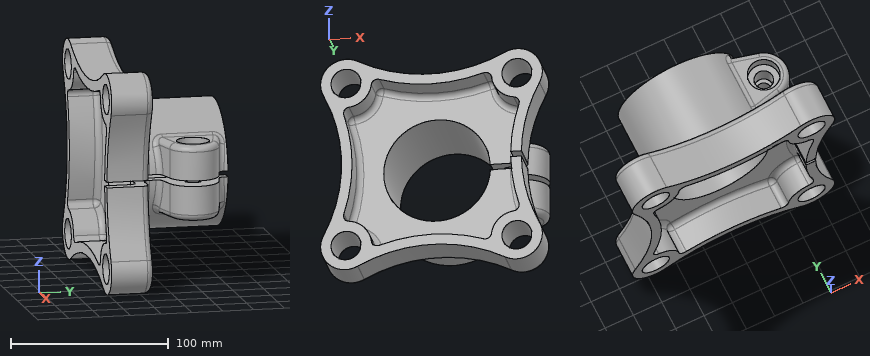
import cadquery as cq
import math

overall_width = 142.7
overall_depth = 82.4
flange_thickness = 27.4
corner_radius = 16.4
side_arc_radius = 102.0
bolt_hole_diameter = 19.1

hub_diameter = 82.5
bore_diameter = 68.5

pocket_wall = 6.9
pocket_depth = 20.5
fillet_radius = 4.0

ear_center_x = 49.5
ear_center_y = 57.7
ear_half_height = 24.4
ear_root_x = 28.5
ear_taper_degrees = 14.0
slit_width = 3.5

clamp_tap_diameter = 9.5
clamp_clearance_diameter = 12.3
spotface_diameter = 20.8
spotface_depth = 8.5

selection_margin = 0.4

hub_radius = hub_diameter / 2
bolt_offset = overall_width / 2 - corner_radius
tangent_span = side_arc_radius + corner_radius
side_arc_offset = bolt_offset + math.sqrt(tangent_span**2 - bolt_offset**2)

corners = [(sx * bolt_offset, sz * bolt_offset) for sx in (-1, 1) for sz in (-1, 1)]
side_arc_centers = [
    (side_arc_offset, 0),
    (-side_arc_offset, 0),
    (0, side_arc_offset),
    (0, -side_arc_offset),
]


def along_y():
    """Workplane on the open flange face, X across and Z up; negative extrusions go toward +Y."""
    return cq.Workplane("XZ")


def disks(centers, radius, depth):
    """Cylinders along Y that start at the open face of the flange."""
    return along_y().pushPoints(centers).circle(radius).extrude(-depth)


def flange():
    """Square plate with four rounded corners joined by tangent concave sides."""
    blend = corner_radius / tangent_span
    near = bolt_offset * (1 - blend)
    far = bolt_offset + (side_arc_offset - bolt_offset) * blend
    side_middle = side_arc_offset - side_arc_radius
    corner_middle = bolt_offset + corner_radius * math.sqrt(0.5)

    outline = along_y().moveTo(near, far)
    for quarter in range(4):
        cosine = round(math.cos(quarter * math.pi / 2))
        sine = round(math.sin(quarter * math.pi / 2))

        def turned(x, z):
            return (x * cosine + z * sine, z * cosine - x * sine)

        outline = outline.threePointArc(turned(corner_middle, corner_middle), turned(far, near))
        outline = outline.threePointArc(turned(side_middle, 0), turned(far, -near))
    plate = outline.close().extrude(-flange_thickness)
    return plate.faces(">Y").edges().fillet(fillet_radius)


def pocket():
    """Recess that leaves an even wall along the sides and a round boss at each bolt hole."""
    side = 2 * (bolt_offset + fillet_radius)
    block = along_y().rect(side, side).extrude(-pocket_depth)
    block = block.cut(disks(corners, corner_radius, pocket_depth))
    block = block.cut(disks(side_arc_centers, side_arc_radius + pocket_wall, pocket_depth))
    return block.edges("|Y or >Y").fillet(fillet_radius)


def clamp_ear():
    """Tapered lug with a round end, rooted inside the hub and rounded along its rim."""
    taper = math.radians(ear_taper_degrees)
    tangent_x = ear_center_x + corner_radius * math.sin(taper)
    tangent_y = corner_radius * math.cos(taper)
    root_y = tangent_y + (tangent_x - ear_root_x) * math.tan(taper)
    lug = (
        cq.Workplane("XY")
        .moveTo(ear_root_x, ear_center_y - root_y)
        .lineTo(tangent_x, ear_center_y - tangent_y)
        .threePointArc((ear_center_x + corner_radius, ear_center_y), (tangent_x, ear_center_y + tangent_y))
        .lineTo(ear_root_x, ear_center_y + root_y)
        .close()
        .extrude(ear_half_height, both=True)
    )
    return lug.faces("|Z").edges("not(<X)").fillet(fillet_radius)


def clamp_hole(diameter, bottom_z, top_z):
    """Vertical cylinder on the clamp screw axis."""
    start = cq.Workplane("XY", origin=(ear_center_x, ear_center_y, bottom_z))
    return start.circle(diameter / 2).extrude(top_z - bottom_z)


def blended_body():
    """Hub, ear and flange joined, with a fillet along each junction."""
    hub = along_y().circle(hub_radius).extrude(-overall_depth)
    ear_junction = cq.selectors.BoxSelector(
        (ear_root_x, flange_thickness + fillet_radius, -hub_radius),
        (hub_radius + selection_margin, overall_depth - fillet_radius, hub_radius),
    )
    body = hub.union(clamp_ear()).edges(ear_junction).fillet(fillet_radius)

    body = body.union(flange())
    flange_face = cq.selectors.BoxSelector(
        (-hub_radius, flange_thickness - selection_margin, -hub_radius),
        (hub_radius, flange_thickness + selection_margin, hub_radius),
    )
    return body.edges(flange_face).edges("%CIRCLE").fillet(fillet_radius)


result = blended_body()

result = result.cut(pocket())
result = result.cut(disks([(0, 0)], bore_diameter / 2, overall_depth))
result = result.cut(disks(corners, bolt_hole_diameter / 2, flange_thickness))

result = result.cut(clamp_hole(clamp_tap_diameter, -ear_half_height, 0))
result = result.cut(clamp_hole(clamp_clearance_diameter, 0, ear_half_height))
result = result.cut(clamp_hole(spotface_diameter, ear_half_height - spotface_depth, ear_half_height))

slit = cq.Workplane("XY").box(
    overall_width / 2, overall_depth, slit_width, centered=(False, False, True)
)
result = result.cut(slit)